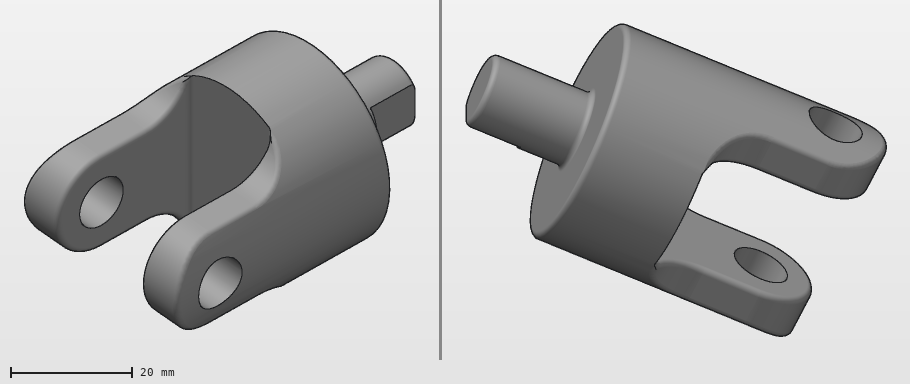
import cadquery as cq

total_length = 65.4
body_diameter = 38.1
shaft_diameter = 12.8
shaft_length = 17.85
solid_length = 18.4
slot_width = 20.3
lug_radius = body_diameter / 4
pin_hole_diameter = 9.6
edge_radius = 1.0
root_radius = 1.0
flat_length = 9.9
flat_depth = 1.6

tip_y = -lug_radius
shaft_end_y = tip_y + total_length
shoulder_y = shaft_end_y - shaft_length
slot_floor_y = shoulder_y - solid_length
body_radius = body_diameter / 2
shaft_radius = shaft_diameter / 2
neck_radius = body_radius - lug_radius
neck_y = slot_floor_y - neck_radius


def rod(diameter, start_y, end_y):
    """Solid cylinder along Y, its seam turned to the Z side, clear of the lugs."""
    base = cq.Plane(origin=(0, start_y, 0), xDir=(0, 0, 1), normal=(0, 1, 0))
    return cq.Workplane(base).circle(diameter / 2).extrude(end_y - start_y)


def side_outline():
    """Prism with the side outline: rounded tip, straight cheeks and concave flares out to the body."""
    flare_offset = neck_radius * 0.5**0.5
    flare_mid_y = neck_y + flare_offset
    flare_mid_z = body_radius - flare_offset
    return (
        cq.Workplane("YZ")
        .moveTo(0, lug_radius)
        .lineTo(neck_y, lug_radius)
        .threePointArc((flare_mid_y, flare_mid_z), (slot_floor_y, body_radius))
        .lineTo(shoulder_y, body_radius)
        .lineTo(shoulder_y, -body_radius)
        .lineTo(slot_floor_y, -body_radius)
        .threePointArc((flare_mid_y, -flare_mid_z), (neck_y, -lug_radius))
        .lineTo(0, -lug_radius)
        .threePointArc((tip_y, 0), (0, lug_radius))
        .close()
        .extrude(body_radius, both=True)
    )


def slot_cutter():
    """Block that opens the fork, rounded where its floor meets the two walls."""
    slot_depth = slot_floor_y - tip_y
    block = cq.Workplane("XY", origin=(0, tip_y + slot_depth / 2, 0)).box(
        slot_width, slot_depth, body_diameter
    )
    return block.faces(">Y").edges("|Z").fillet(edge_radius)


def fork_body():
    """Slotted cylinder trimmed to the side outline, with rounded lug rims."""
    body = rod(body_diameter, tip_y, shoulder_y).intersect(side_outline()).cut(slot_cutter())
    lug_zone = cq.selectors.BoxSelector(
        (-body_diameter, -body_diameter, -body_diameter),
        (body_diameter, slot_floor_y - edge_radius, body_diameter),
    )
    body = body.edges("not |X").edges(lug_zone).fillet(edge_radius)
    return body.faces(">Y").edges().fillet(edge_radius)


def shaft():
    """Plain shaft with a rounded free end."""
    return rod(shaft_diameter, shoulder_y, shaft_end_y).faces(">Y").edges().fillet(edge_radius)


def flat_cutter():
    """Block that removes the flat on the +X side of the shaft end."""
    center = (shaft_radius - flat_depth / 2, shaft_end_y - flat_length / 2, 0)
    return cq.Workplane("XY", origin=center).box(flat_depth, flat_length, shaft_diameter)


part = fork_body().union(shaft())

shoulder_zone = cq.selectors.BoxSelector(
    (-shaft_diameter, shoulder_y - root_radius / 2, -shaft_diameter),
    (shaft_diameter, shoulder_y + root_radius / 2, shaft_diameter),
)
part = part.edges("%CIRCLE").edges(shoulder_zone).edges(cq.selectors.RadiusNthSelector(0)).fillet(root_radius)

pin_hole = cq.Workplane("YZ").circle(pin_hole_diameter / 2).extrude(body_radius, both=True)
result = part.cut(flat_cutter()).cut(pin_hole)